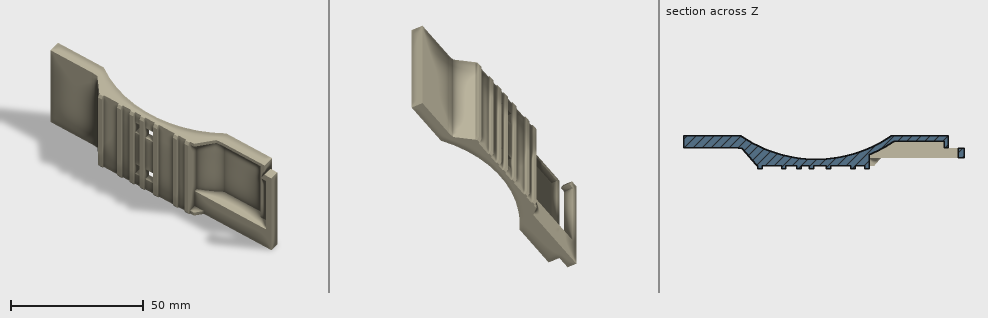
import cadquery as cq

length = 100.0
height = 40.0
mid_x = length / 2
plate_thickness = 4.75

seat_radius = 50.0
seat_depth = 9.0
seat_axis_y = seat_radius - seat_depth

bulge_mid_x = 49.82
lead_in_half_width = 30.4
bulge_foot_half_width = 27.8
bulge_foot_depth = 5.0
bulge_half_width = 22.15
bulge_depth = 11.5

rib_left_edges = (28.0, 36.9, 42.65, 47.38, 53.75, 63.0, 68.35)
rib_width = 1.8
rib_height = 1.25
rib_root_depth = 0.5
rib_end_slope_depth = 0.75
rib_end_slope_length = 1.25

first_window_rib = 2
last_window_rib = 3
window_height = 5.5
window_offset_z = 11.5

pocket_left = rib_left_edges[-1] + rib_width
pocket_right = 98.2
pocket_floor_depth = 2.4
rim = 1.6

latch_front_depth = 8.6
latch_bar_height = 10.0
latch_right = 106.0
arm_width = 2.5
hook_reach = 2.5
hook_tip_height = 3.0
hook_slope_width = 1.8


def box(x0, x1, y0, y1, z0, z1):
    """Axis-aligned block between two opposite corners."""
    return cq.Workplane("XY").box(x1 - x0, y1 - y0, z1 - z0, centered=False).translate((x0, y0, z0))


def seat_cylinder(wall):
    """Cylinder on the seat axis, larger than the seat by the given wall."""
    return cq.Workplane("XY").center(mid_x, seat_axis_y).circle(seat_radius + wall).extrude(height)


def make_body():
    outline = [
        (0, 0),
        (0, -plate_thickness),
        (bulge_mid_x - lead_in_half_width, -plate_thickness),
        (bulge_mid_x - bulge_foot_half_width, -bulge_foot_depth),
        (bulge_mid_x - bulge_half_width, -bulge_depth),
        (bulge_mid_x + bulge_half_width, -bulge_depth),
        (bulge_mid_x + bulge_foot_half_width, -bulge_foot_depth),
        (bulge_mid_x + lead_in_half_width, -plate_thickness),
        (length, -plate_thickness),
        (length, 0),
    ]
    body = cq.Workplane("XY").polyline(outline).close().extrude(height)
    return body.cut(seat_cylinder(0))


def cut_pocket(body):
    pocket = box(pocket_left, pocket_right, -bulge_depth, -pocket_floor_depth, rim, height - rim)
    return body.cut(pocket.cut(seat_cylinder(pocket_floor_depth)))


def cut_windows(body):
    for side in (-1, 1):
        center_z = height / 2 + side * window_offset_z
        bottom_z = center_z - window_height / 2
        top_z = center_z + window_height / 2
        for rib in range(first_window_rib, last_window_rib + 1):
            left = rib_left_edges[rib] + rib_width
            right = rib_left_edges[rib + 1]
            body = body.cut(box(left, right, -bulge_depth, 0, bottom_z, top_z))
    return body


def make_rib(left):
    """Full-height rib, rooted in the bulge, with the front corners of both ends sloped off."""
    crest_y = -bulge_depth - rib_height
    shoulder_y = crest_y + rib_end_slope_depth
    root_y = -bulge_depth + rib_root_depth
    side_outline = [
        (root_y, 0),
        (shoulder_y, 0),
        (crest_y, rib_end_slope_length),
        (crest_y, height - rib_end_slope_length),
        (shoulder_y, height),
        (root_y, height),
    ]
    rib = cq.Workplane("YZ").polyline(side_outline).close().extrude(rib_width)
    return rib.translate((left, 0, 0))


def make_latch():
    """L-shaped latch: bottom bar, upright arm and a hook at the arm's tip."""
    arm_left = latch_right - arm_width
    tip_x = arm_left - hook_reach
    outline = [
        (pocket_left, 0),
        (latch_right, 0),
        (latch_right, height),
        (tip_x + hook_slope_width, height),
        (tip_x, height - hook_tip_height),
        (arm_left, height - hook_tip_height),
        (arm_left, latch_bar_height),
        (pocket_left, latch_bar_height),
    ]
    latch = cq.Workplane("XZ").polyline(outline).close().extrude(latch_front_depth - plate_thickness)
    return latch.translate((0, -plate_thickness, 0))


def make_pocket_sill():
    """Solid fill of the pocket behind the latch bar, up to the bar's top."""
    sill = box(pocket_left, pocket_right, -latch_front_depth, -pocket_floor_depth, 0, latch_bar_height)
    return sill.cut(seat_cylinder(0))


result = cut_windows(cut_pocket(make_body()))
for left_edge in rib_left_edges:
    result = result.union(make_rib(left_edge))
result = result.union(make_pocket_sill()).union(make_latch())